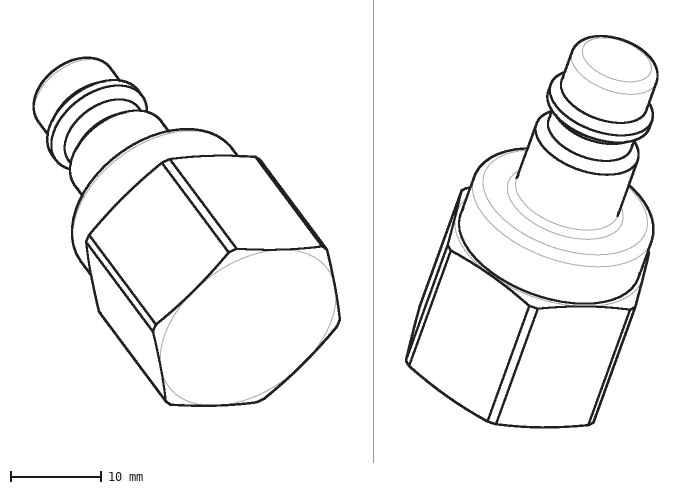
import cadquery as cq
import math

total_length = 43.1
collar_ramp_start = 5.0
collar_start = 6.0
collar_end = 7.0
groove_start = 8.05
groove_end = 10.45
stem_start = 11.5
shoulder_start = 20.0
hex_start = 26.1

nose_radius = 10.0 / 2
groove_radius = 9.75 / 2
stem_radius = 12.0 / 2
shoulder_radius = 21.0 / 2

nose_rounding = 1.0
shoulder_rounding = 0.95
stem_root_rounding = 0.75

across_flats = 22.0
across_corners = across_flats / math.cos(math.radians(30))
corner_radius = 12.4
hex_tilt = 8.0
chamfer_angle = 15.0
chamfer_depth = (corner_radius - across_flats / 2) * math.tan(math.radians(chamfer_angle))


def add_convex_rounding(profile, start_x, outer_radius, rounding):
    """Go from a flat face onto a cylinder through a rounded edge."""
    inset = rounding * (1 - math.sqrt(0.5))
    return profile.lineTo(start_x, outer_radius - rounding).threePointArc(
        (start_x + inset, outer_radius - inset),
        (start_x + rounding, outer_radius),
    )


def add_root_rounding(profile, face_x, cylinder_radius, rounding):
    """Go from a cylinder onto a flat face through a rounded inner corner."""
    inset = rounding * (1 - math.sqrt(0.5))
    return profile.lineTo(face_x - rounding, cylinder_radius).threePointArc(
        (face_x - inset, cylinder_radius + inset),
        (face_x, cylinder_radius + rounding),
    )


def make_turned_body():
    """Nose, locking collar, groove, stem and shoulder, revolved about X."""
    profile = cq.Workplane("XY").moveTo(0, 0)
    profile = add_convex_rounding(profile, 0, nose_radius, nose_rounding)
    profile = (
        profile.lineTo(collar_ramp_start, nose_radius)
        .lineTo(collar_start, stem_radius)
        .lineTo(collar_end, stem_radius)
        .lineTo(groove_start, groove_radius)
        .lineTo(groove_end, groove_radius)
        .lineTo(stem_start, stem_radius)
    )
    profile = add_root_rounding(profile, shoulder_start, stem_radius, stem_root_rounding)
    profile = add_convex_rounding(profile, shoulder_start, shoulder_radius, shoulder_rounding)
    profile = profile.lineTo(hex_start, shoulder_radius).lineTo(hex_start, 0).close()
    return profile.revolve(360, (0, 0, 0), (1, 0, 0))


def make_hexagon():
    """Hexagonal prism whose corners are turned down and chamfered at both ends."""
    prism = (
        cq.Workplane("YZ", origin=(hex_start, 0, 0))
        .polygon(6, across_corners)
        .extrude(total_length - hex_start)
        .rotate((0, 0, 0), (1, 0, 0), 90 + hex_tilt)
    )
    envelope = (
        cq.Workplane("XY")
        .moveTo(hex_start, 0)
        .lineTo(hex_start, across_flats / 2)
        .lineTo(hex_start + chamfer_depth, corner_radius)
        .lineTo(total_length - chamfer_depth, corner_radius)
        .lineTo(total_length, across_flats / 2)
        .lineTo(total_length, 0)
        .close()
        .revolve(360, (0, 0, 0), (1, 0, 0))
    )
    return prism.intersect(envelope)


result = make_turned_body().union(make_hexagon())